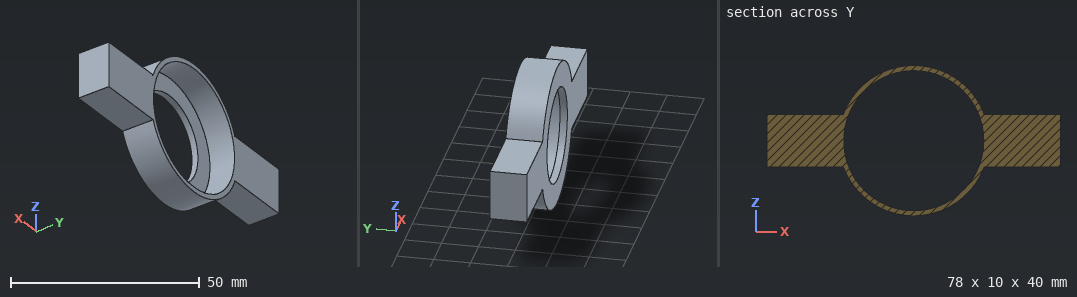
import cadquery as cq

ring_diameter = 40.0
lip_bore_diameter = 26.0
rear_bore_diameter = 37.0
lip_thickness = 2.0
overall_length = 78.0
arm_height = 14.0
thickness = 10.0

front_y = -thickness / 2


def cylinder_along_y(diameter, start_y, length):
    """Cylinder on the ring axis, running from start_y towards +Y."""
    plane = cq.Workplane("XZ", origin=(0, start_y, 0))
    return plane.circle(diameter / 2).extrude(-length)


def make_body():
    """Ring blank joined to a bar that forms the two opposite arms."""
    ring = cylinder_along_y(ring_diameter, front_y, thickness)
    arms = cq.Workplane("XY").box(overall_length, thickness, arm_height)
    return ring.union(arms)


def make_stepped_bore():
    """Through bore at the lip, opening into the wider bore behind it."""
    lip_bore = cylinder_along_y(lip_bore_diameter, front_y, thickness)
    rear_bore_depth = thickness - lip_thickness
    rear_bore = cylinder_along_y(rear_bore_diameter, front_y + lip_thickness, rear_bore_depth)
    return lip_bore.union(rear_bore)


result = make_body().cut(make_stepped_bore())